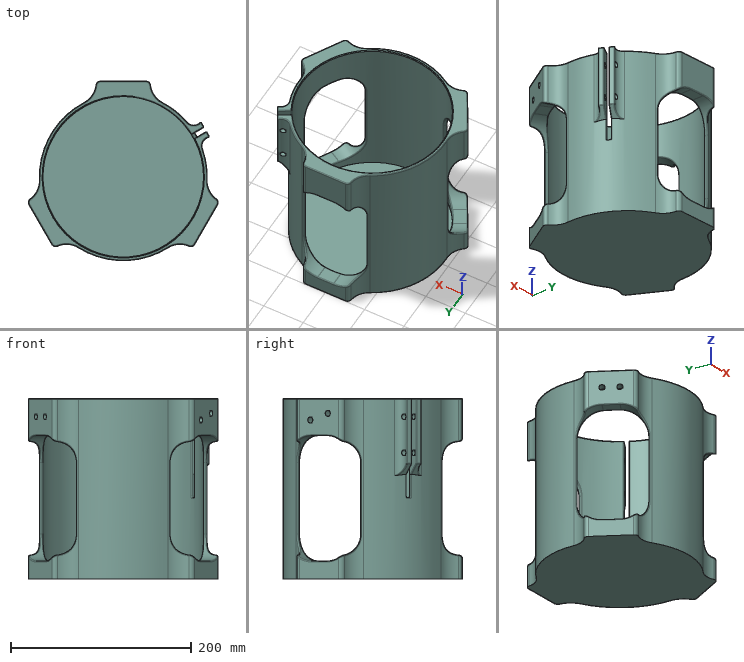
import cadquery as cq
import math

height = 200.0
bore_radius = 89.0
tube_radius = 93.0
floor_thickness = 10.0
edge_round = 1.0
tolerance = 0.01

pad_angles = (-150.0, -30.0, 90.0)
pad_distance = 106.0
pad_half_width = 30.0
pad_corner_round = 5.0
pad_root_round = 25.0

window_bottom = 20.0
window_top = 159.0
window_width = 80.0
window_corner_radius = 30.0

pad_hole_diameter = 6.5
pad_hole_depth = 12.0
pad_hole_height = 180.0
pad_hole_spacing = 20.0
left_pad_angle = pad_angles[0]
right_pad_angle = pad_angles[1]
right_hole_offset_across = 11.2
right_hole_offset_up = 3.7

clamp_angle = 30.0
slot_width = 5.5
slot_bottom = 90.3
slot_corner_radius = 1.5
tab_thickness = 6.3
tab_tip_distance = 105.0
tab_tip_bottom = 128.0
tab_root_round = 10.0
tab_tip_round = 1.0
clamp_hole_diameter = 6.5
clamp_hole_heights = (140.0, 180.0)


def turned_to(angle, shape):
    """Turn a shape built facing +X so that it faces the given direction."""
    return shape.rotate((0, 0, 0), (0, 0, 1), angle)


def arc_point(centre, radius, angle):
    """Point at the given angle on a circle."""
    return (centre[0] + radius * math.cos(angle), centre[1] + radius * math.sin(angle))


def mirrored(point):
    """The same point on the other side of the X axis."""
    return (point[0], -point[1])


def flared_block(half_width, face_distance, root_round, tip_round, bottom, top):
    """Block facing +X whose sides sweep into the tube through concave arcs and have rounded tips."""
    root_y = half_width + root_round
    root = (math.sqrt((tube_radius + root_round) ** 2 - root_y**2), root_y)
    tip_x = face_distance - tip_round
    tip = (tip_x, root_y - math.sqrt((root_round + tip_round) ** 2 - (tip_x - root[0]) ** 2))

    tube_angle = math.atan2(-root[1], -root[0])
    meeting_angle = math.atan2(tip[1] - root[1], tip[0] - root[0])
    tip_start_angle = meeting_angle + math.pi

    on_tube = arc_point(root, root_round, tube_angle)
    on_root = arc_point(root, root_round, (tube_angle + meeting_angle) / 2)
    meeting = arc_point(root, root_round, meeting_angle)
    on_tip = arc_point(tip, tip_round, tip_start_angle / 2)
    on_face = (face_distance, tip[1])
    return (
        cq.Workplane("XY", origin=(0, 0, bottom))
        .moveTo(0, 0)
        .lineTo(*mirrored(on_tube))
        .threePointArc(mirrored(on_root), mirrored(meeting))
        .threePointArc(mirrored(on_tip), mirrored(on_face))
        .lineTo(*on_face)
        .threePointArc(on_tip, meeting)
        .threePointArc(on_root, on_tube)
        .close()
        .extrude(top - bottom)
    )


def pad(angle):
    block = flared_block(pad_half_width, pad_distance, pad_root_round, pad_corner_round, 0, height)
    return turned_to(angle, block)


def clamp_tabs():
    half_width = slot_width / 2 + tab_thickness
    block = flared_block(half_width, tab_tip_distance, tab_root_round, tab_tip_round, slot_bottom, height)
    below = (
        cq.Workplane("XZ", origin=(0, tab_tip_distance, 0))
        .moveTo(tab_tip_distance, tab_tip_bottom)
        .lineTo(tab_tip_distance, 0)
        .lineTo(0, 0)
        .lineTo(0, tab_tip_bottom - tab_tip_distance)
        .close()
        .extrude(2 * tab_tip_distance)
    )
    return turned_to(clamp_angle, block.cut(below))


def window(angle):
    cutter = (
        cq.Workplane("YZ")
        .center(0, (window_bottom + window_top) / 2)
        .rect(window_width, window_top - window_bottom)
        .extrude(2 * pad_distance)
        .edges("|X")
        .fillet(window_corner_radius)
    )
    return turned_to(angle, cutter)


def pad_hole(angle, across, up):
    hole = (
        cq.Workplane("YZ", origin=(pad_distance - pad_hole_depth, 0, 0))
        .center(across, up)
        .circle(pad_hole_diameter / 2)
        .extrude(2 * pad_hole_depth)
    )
    return turned_to(angle, hole)


def clamp_slot():
    slot = (
        cq.Workplane("XY", origin=(0, 0, slot_bottom))
        .rect(2 * tab_tip_distance, slot_width, centered=(False, True))
        .extrude(height)
        .edges("|X and <Z")
        .fillet(slot_corner_radius)
    )
    return turned_to(clamp_angle, slot)


def clamp_hole(hole_height):
    hole = (
        cq.Workplane("XZ")
        .center((tube_radius + tab_tip_distance) / 2, hole_height)
        .circle(clamp_hole_diameter / 2)
        .extrude(2 * (slot_width + tab_thickness), both=True)
    )
    return turned_to(clamp_angle, hole)


def runs_through_wall(edge):
    """Tell whether an edge of a part that faces +X runs straight along X."""
    start = edge.positionAt(0)
    end = edge.positionAt(1)
    return abs(end.y - start.y) < tolerance and abs(end.z - start.z) < tolerance


def is_on_window_outline(edge):
    """Tell whether an edge runs around the mouth of a window that faces +X."""
    points = [edge.positionAt(step) for step in (0, 0.3, 0.7, 1)]
    corner_y = window_width / 2 - window_corner_radius
    corner_z = (window_top - window_bottom) / 2 - window_corner_radius
    for point in points:
        beyond_y = max(abs(point.y) - corner_y, 0)
        beyond_z = max(abs(point.z - (window_bottom + window_top) / 2) - corner_z, 0)
        if point.x < 0 or abs(math.hypot(beyond_y, beyond_z) - window_corner_radius) > tolerance:
            return False
    return not runs_through_wall(edge)


def round_window_edges(part, angle):
    facing_x = turned_to(-angle, part)
    mouth_edges = facing_x.edges().filter(is_on_window_outline)
    return turned_to(angle, mouth_edges.fillet(edge_round))


def is_on_clamp_outline(edge):
    """Tell whether an edge bounds the slot walls or the tab ends of a clamp that faces +X."""
    points = [edge.positionAt(step) for step in (0, 0.5, 1)]
    if min(point.x for point in points) < tube_radius / 2:
        return False
    in_slot = all(abs(point.y) < slot_width / 2 + tolerance for point in points)
    tip_start = tab_tip_distance - tab_tip_round - tolerance
    under_tip = all(point.x > tip_start and point.z < tab_tip_bottom + tolerance for point in points)
    return (in_slot and not runs_through_wall(edge)) or under_tip


def round_rim_and_clamp_edges(part):
    facing_x = turned_to(-clamp_angle, part)
    clamp_edges = facing_x.edges().filter(is_on_clamp_outline)
    rim_edges = facing_x.faces(">Z").edges()
    return turned_to(clamp_angle, clamp_edges.add(rim_edges).fillet(edge_round))


def pad_hole_pairs():
    """The level pair in the left pad and the slanted pair in the right pad."""
    holes = []
    for side in (-1, 1):
        holes.append(pad_hole(left_pad_angle, side * pad_hole_spacing / 2, pad_hole_height))
        slanted_height = pad_hole_height + side * right_hole_offset_up
        holes.append(pad_hole(right_pad_angle, side * right_hole_offset_across, slanted_height))
    return holes


def bore():
    return cq.Workplane("XY", origin=(0, 0, floor_thickness)).circle(bore_radius).extrude(height)


body = cq.Workplane("XY").circle(tube_radius).extrude(height)
for pad_angle in pad_angles:
    body = body.union(pad(pad_angle))
body = body.union(clamp_tabs())

body = body.cut(bore())
for pad_angle in pad_angles:
    body = body.cut(window(pad_angle))
    body = round_window_edges(body, pad_angle)

body = body.cut(clamp_slot())
body = round_rim_and_clamp_edges(body)

for hole in pad_hole_pairs():
    body = body.cut(hole)
for hole_height in clamp_hole_heights:
    body = body.cut(clamp_hole(hole_height))

result = body